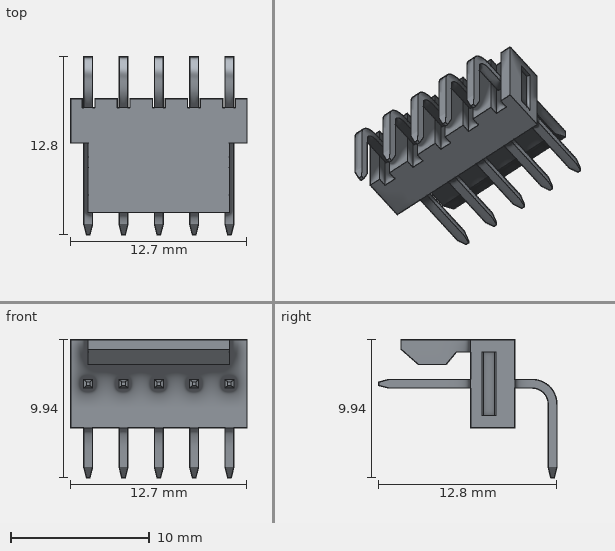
import cadquery as cq

PIN_COUNT = 5
PITCH = 2.54
PIN_WIDTH = 0.64
TIP_LENGTH = 0.76
TIP_WIDTH = 0.26
BEND_OUTER_RADIUS = 1.78
BEND_INNER_RADIUS = BEND_OUTER_RADIUS - PIN_WIDTH
PIN_FRONT_REACH = 6.61
PIN_BACK_REACH = 3.03
PIN_DROP = 3.59

BODY_LENGTH = PIN_COUNT * PITCH
BODY_DEPTH = 3.2
BODY_HEIGHT = 6.35
PIN_HEIGHT = BODY_HEIGHT / 2

NOTCH_WIDTH = 0.9
NOTCH_DEPTH = 0.65
NOTCH_PITCH = 2.53

LEDGE_LENGTH = (PIN_COUNT - 1) * PITCH
LEDGE_REACH = 5.0
LEDGE_THICKNESS = 0.9
HOOK_THICKNESS = 1.8
NOSE_THICKNESS = 0.69
HOOK_RAMP_START = 1.01
HOOK_FLAT_START = 1.76
HOOK_FLAT_END = 3.75

POCKET_WIDTH = 1.01
POCKET_FLOOR_WIDTH = 0.8
POCKET_HEIGHT = 4.59
POCKET_DEPTH = 0.26
POCKET_BACK_MARGIN = 1.35


def row_positions(pitch):
    """X places of PIN_COUNT items spaced evenly about X = 0."""
    first = -(PIN_COUNT - 1) * pitch / 2
    return [first + i * pitch for i in range(PIN_COUNT)]


def make_body():
    body = cq.Workplane("XY").box(
        BODY_LENGTH, BODY_DEPTH, BODY_HEIGHT, centered=(True, False, False)
    )
    for x in row_positions(NOTCH_PITCH):
        notch = (
            cq.Workplane("XY")
            .box(NOTCH_WIDTH, NOTCH_DEPTH, BODY_HEIGHT, centered=(True, False, False))
            .translate((x, BODY_DEPTH - NOTCH_DEPTH, 0))
        )
        body = body.cut(notch)
    return body


def make_ledge():
    top = BODY_HEIGHT
    profile = [
        (0, top),
        (-LEDGE_REACH, top),
        (-LEDGE_REACH, top - NOSE_THICKNESS),
        (-HOOK_FLAT_END, top - HOOK_THICKNESS),
        (-HOOK_FLAT_START, top - HOOK_THICKNESS),
        (-HOOK_RAMP_START, top - LEDGE_THICKNESS),
        (0, top - LEDGE_THICKNESS),
    ]
    return cq.Workplane("YZ").polyline(profile).close().extrude(LEDGE_LENGTH / 2, both=True)


def make_end_pocket():
    """Pocket in the -X end face whose front and back walls slope inwards."""
    outer_x = -BODY_LENGTH / 2
    back = BODY_DEPTH - POCKET_BACK_MARGIN
    front = back - POCKET_WIDTH
    taper = (POCKET_WIDTH - POCKET_FLOOR_WIDTH) / 2
    section = [
        (outer_x, front),
        (outer_x, back),
        (outer_x + POCKET_DEPTH, back - taper),
        (outer_x + POCKET_DEPTH, front + taper),
    ]
    bottom = (BODY_HEIGHT - POCKET_HEIGHT) / 2
    return cq.Workplane("XY").workplane(offset=bottom).polyline(section).close().extrude(POCKET_HEIGHT)


def make_tip():
    """Tapered pin end that starts at the origin and points along +Z."""
    return (
        cq.Workplane("XY")
        .rect(PIN_WIDTH, PIN_WIDTH)
        .workplane(offset=TIP_LENGTH)
        .rect(TIP_WIDTH, TIP_WIDTH)
        .loft(ruled=True)
    )


def make_pin():
    """Right-angle pin centred on X = 0."""
    top = PIN_HEIGHT + PIN_WIDTH / 2
    bottom = top - PIN_WIDTH
    back = BODY_DEPTH + PIN_BACK_REACH
    front_shoulder = -PIN_FRONT_REACH + TIP_LENGTH
    lower_shoulder = -PIN_DROP + TIP_LENGTH
    bend_y = back - BEND_OUTER_RADIUS
    bend_z = top - BEND_OUTER_RADIUS
    shank = (
        cq.Workplane("YZ")
        .moveTo(front_shoulder, top)
        .lineTo(bend_y, top)
        .radiusArc((back, bend_z), BEND_OUTER_RADIUS)
        .lineTo(back, lower_shoulder)
        .lineTo(back - PIN_WIDTH, lower_shoulder)
        .lineTo(back - PIN_WIDTH, bend_z)
        .radiusArc((bend_y, bottom), -BEND_INNER_RADIUS)
        .lineTo(front_shoulder, bottom)
        .close()
        .extrude(PIN_WIDTH / 2, both=True)
    )
    front_tip = (
        make_tip()
        .rotate((0, 0, 0), (1, 0, 0), 90)
        .translate((0, front_shoulder, PIN_HEIGHT))
    )
    lower_tip = (
        make_tip()
        .rotate((0, 0, 0), (1, 0, 0), 180)
        .translate((0, back - PIN_WIDTH / 2, lower_shoulder))
    )
    return shank.union(front_tip).union(lower_tip)


end_pocket = make_end_pocket()
result = make_body().union(make_ledge()).cut(end_pocket).cut(end_pocket.mirror("YZ"))

pin = make_pin()
for pin_x in row_positions(PITCH):
    result = result.union(pin.translate((pin_x, 0, 0)))